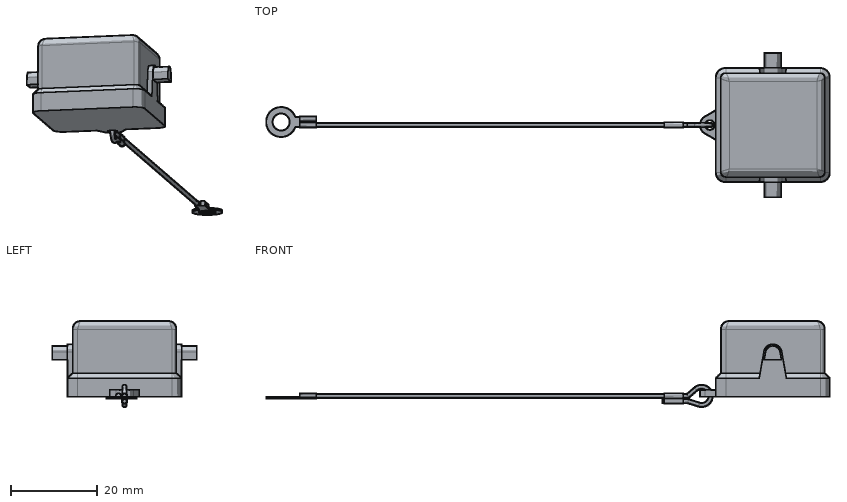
import cadquery as cq
import math

FLANGE_SIZE = 26.5
FLANGE_HEIGHT = 4.3
FLANGE_CORNER_RADIUS = 2.3
LEDGE = 1.2
BODY_SIZE = FLANGE_SIZE - 2 * LEDGE
BODY_CORNER_RADIUS = FLANGE_CORNER_RADIUS - LEDGE
CAP_HEIGHT = 17.6
TOP_FILLET = 1.9

PIN_SPAN = 33.5
PIN_AXIS_HEIGHT = 10.1
PIN_RADIUS = 1.7
PIN_BOTTOM = 8.55
PAD_BORDER = 0.4
FLANK_ANGLE = math.radians(10)

TAB_HEIGHT = 1.6
TAB_TIP_RADIUS = 2.3
TAB_FLANK_ANGLE = math.radians(30)
TAB_HOLE_X = -14.6
TAB_HOLE_DIAMETER = 2.2

CABLE_RADIUS = 0.5
CABLE_HEIGHT = 0.2
LOOP_OUTER_RADIUS = 2.6
LOOP_RADIUS = LOOP_OUTER_RADIUS - CABLE_RADIUS
LOOP_X = -16.5
LOOP_NECK_X = -19.7
FERRULE_RADIUS = 0.65
STRAND_PITCH = 1.2

FERRULE_START_X = -25.2
FERRULE_END_X = -20.8
CABLE_TAIL = 0.4

RING_END_X = -117.49
RING_RADIUS = 3.5
RING_HOLE_DIAMETER = 3.9
RING_X = RING_END_X + RING_RADIUS
RING_THICKNESS = 0.4
CRIMP_START_X = -109.7
CRIMP_END_X = -105.8
CRIMP_RADIUS = 0.6
CRIMP_PITCH = 1.4
RING_BOTTOM = -0.4
NECK_WIDTH = 2.4


def rounded_block(size, height, corner_radius):
    block = cq.Workplane("XY").box(size, size, height, centered=(True, True, False))
    return block.edges("|Z").fillet(corner_radius)


def make_cap():
    flange = rounded_block(FLANGE_SIZE, FLANGE_HEIGHT + LEDGE, FLANGE_CORNER_RADIUS)
    flange = flange.faces(">Z").edges().chamfer(LEDGE)
    body = rounded_block(BODY_SIZE, CAP_HEIGHT, BODY_CORNER_RADIUS)
    body = body.faces(">Z").edges().fillet(TOP_FILLET)
    return flange.union(body)


def tapered_arch(radius, bottom, span):
    """Bar along Y: round top of the given radius, flanks widening down to a flat bottom."""
    tangent_x = radius * math.cos(FLANK_ANGLE)
    tangent_z = PIN_AXIS_HEIGHT + radius * math.sin(FLANK_ANGLE)
    bottom_x = tangent_x + (tangent_z - bottom) * math.tan(FLANK_ANGLE)
    return (
        cq.Workplane("XZ")
        .moveTo(-bottom_x, bottom)
        .lineTo(-tangent_x, tangent_z)
        .threePointArc((0, PIN_AXIS_HEIGHT + radius), (tangent_x, tangent_z))
        .lineTo(bottom_x, bottom)
        .close()
        .extrude(span / 2, both=True)
    )


def make_pins():
    pins = tapered_arch(PIN_RADIUS, PIN_BOTTOM, PIN_SPAN)
    pads = tapered_arch(PIN_RADIUS + PAD_BORDER, FLANGE_HEIGHT, FLANGE_SIZE)
    return pads.union(pins)


def make_tab():
    root_x = -BODY_SIZE / 2
    tangent_x = TAB_HOLE_X - TAB_TIP_RADIUS * math.sin(TAB_FLANK_ANGLE)
    tangent_y = TAB_TIP_RADIUS * math.cos(TAB_FLANK_ANGLE)
    root_y = tangent_y + (root_x - tangent_x) * math.tan(TAB_FLANK_ANGLE)
    return (
        cq.Workplane("XY")
        .moveTo(root_x, -root_y)
        .lineTo(tangent_x, -tangent_y)
        .threePointArc((TAB_HOLE_X - TAB_TIP_RADIUS, 0), (tangent_x, tangent_y))
        .lineTo(root_x, root_y)
        .close()
        .extrude(TAB_HEIGHT)
    )


def make_tab_hole():
    return cq.Workplane("XY").center(TAB_HOLE_X, 0).circle(TAB_HOLE_DIAMETER / 2).extrude(TAB_HEIGHT)


def rod_along_x(start_x, end_x, y, z, radius):
    return cq.Workplane("YZ", origin=(start_x, 0, 0)).center(y, z).circle(radius).extrude(end_x - start_x)


def loop_tangent_point(neck_z, side):
    """Point where a strand from the neck touches the loop circle; side is +1 above, -1 below."""
    neck_dx = LOOP_NECK_X - LOOP_X
    neck_dz = neck_z - CABLE_HEIGHT
    direction = math.atan2(neck_dz, neck_dx)
    opening = math.acos(LOOP_RADIUS / math.hypot(neck_dx, neck_dz))
    angle = direction - side * opening
    return (LOOP_X + LOOP_RADIUS * math.cos(angle), CABLE_HEIGHT + LOOP_RADIUS * math.sin(angle))


def make_cable():
    lower_z = CABLE_HEIGHT - STRAND_PITCH
    path = (
        cq.Workplane("XZ")
        .moveTo(CRIMP_START_X, CABLE_HEIGHT)
        .lineTo(LOOP_NECK_X, CABLE_HEIGHT)
        .lineTo(*loop_tangent_point(CABLE_HEIGHT, 1))
        .threePointArc((LOOP_X + LOOP_RADIUS, CABLE_HEIGHT), loop_tangent_point(lower_z, -1))
        .lineTo(LOOP_NECK_X, lower_z)
        .lineTo(FERRULE_START_X - CABLE_TAIL, lower_z)
    )
    profile = cq.Workplane("YZ", origin=(CRIMP_START_X, 0, CABLE_HEIGHT)).circle(CABLE_RADIUS)
    return profile.sweep(path, transition="round")


def make_ferrule():
    upper = rod_along_x(FERRULE_START_X, FERRULE_END_X, 0, CABLE_HEIGHT, FERRULE_RADIUS)
    lower = rod_along_x(FERRULE_START_X, FERRULE_END_X, 0, CABLE_HEIGHT - STRAND_PITCH, FERRULE_RADIUS)
    return upper.union(lower)


def make_ring_terminal():
    ring_y = CRIMP_PITCH / 2
    plate = cq.Workplane("XY", origin=(0, 0, RING_BOTTOM))
    ring = plate.center(RING_X, ring_y).circle(RING_RADIUS).extrude(RING_THICKNESS)
    neck_length = CRIMP_END_X - RING_X
    neck = plate.center(RING_X + neck_length / 2, ring_y).rect(neck_length, NECK_WIDTH).extrude(RING_THICKNESS)
    hole = plate.center(RING_X, ring_y).circle(RING_HOLE_DIAMETER / 2).extrude(RING_THICKNESS)
    terminal = ring.union(neck).cut(hole)
    for lobe_y in (0, CRIMP_PITCH):
        lobe = rod_along_x(CRIMP_START_X, CRIMP_END_X, lobe_y, CABLE_HEIGHT, CRIMP_RADIUS)
        terminal = terminal.union(lobe)
    return terminal


cap = make_cap().union(make_pins()).union(make_tab()).cut(make_tab_hole())
lanyard = make_cable().union(make_ferrule()).union(make_ring_terminal())
result = cap.union(lanyard)